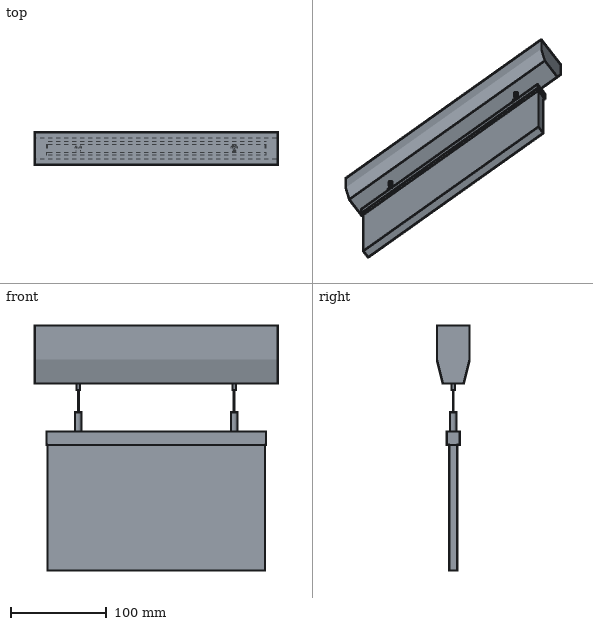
import cadquery as cq

total_height = 256.7

housing_length = 255.0
housing_depth = 34.5
housing_height = 61.0
housing_straight_height = 36.2
housing_bottom_depth = 22.0

wire_spacing = 163.3
wire_diameter = 1.0
ferrule_diameter = 4.0
ferrule_length = 6.7
wire_exposed_length = 23.0
sleeve_diameter = 7.0
sleeve_length = 20.0

rail_length = 230.0
rail_section = 14.0
panel_length = 228.2
panel_thickness = 8.7

housing_bottom = total_height - housing_height
housing_break = total_height - housing_straight_height
ferrule_bottom = housing_bottom - ferrule_length
sleeve_top = ferrule_bottom - wire_exposed_length
rail_top = sleeve_top - sleeve_length
rail_bottom = rail_top - rail_section


def block(length, depth, bottom, top):
    """Box centred on X and Y between two levels."""
    return (
        cq.Workplane("XY", origin=(0, 0, bottom))
        .box(length, depth, top - bottom, centered=(True, True, False))
    )


def pin(x, diameter, bottom, top):
    """Vertical cylinder at a given X between two levels."""
    return (
        cq.Workplane("XY", origin=(x, 0, bottom))
        .circle(diameter / 2)
        .extrude(top - bottom)
    )


def make_housing():
    """Prism along X whose lower sides taper inward."""
    half_top = housing_depth / 2
    half_bottom = housing_bottom_depth / 2
    profile = [
        (-half_top, total_height),
        (half_top, total_height),
        (half_top, housing_break),
        (half_bottom, housing_bottom),
        (-half_bottom, housing_bottom),
        (-half_top, housing_break),
    ]
    return cq.Workplane("YZ").polyline(profile).close().extrude(housing_length / 2, both=True)


def make_suspension(x):
    """Ferrule, thin wire and sleeve joining the housing to the rail."""
    ferrule = pin(x, ferrule_diameter, ferrule_bottom, housing_bottom)
    wire = pin(x, wire_diameter, sleeve_top, ferrule_bottom)
    sleeve = pin(x, sleeve_diameter, rail_top, sleeve_top)
    return ferrule.union(wire).union(sleeve)


rail = block(rail_length, rail_section, rail_bottom, rail_top)
panel = block(panel_length, panel_thickness, 0, rail_bottom)

result = make_housing().union(rail).union(panel)
for side in (-1, 1):
    result = result.union(make_suspension(side * wire_spacing / 2))